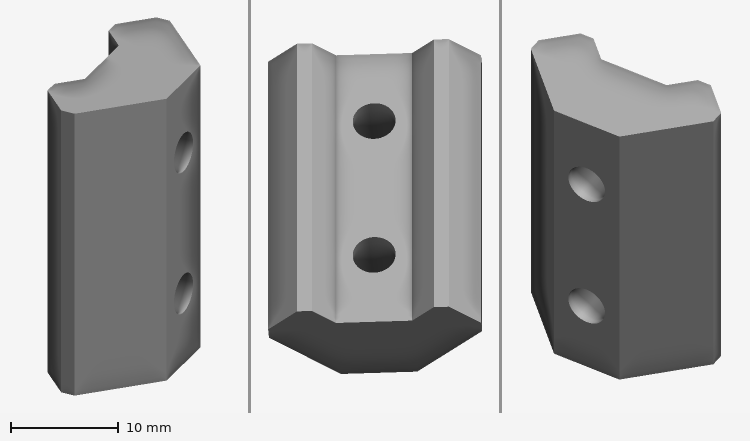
import cadquery as cq
import math

length = 30.0
side = 15.0
leg_thickness = 6.0
edge_chamfer = 1.0
corner_chamfer = 5.0
hole_diameter = 4.0
hole_heights = (length / 4, 3 * length / 4)

outer = side / 2
inner = outer - leg_thickness


def make_bar():
    """Extrude the angle section with all of its bevelled corners."""
    profile = [
        (-outer + edge_chamfer, outer),
        (outer - corner_chamfer, outer),
        (outer, outer - corner_chamfer),
        (outer, -outer + edge_chamfer),
        (outer - edge_chamfer, -outer),
        (inner + edge_chamfer, -outer),
        (inner, -outer + edge_chamfer),
        (inner, inner - corner_chamfer),
        (inner - corner_chamfer, inner),
        (-outer + edge_chamfer, inner),
        (-outer, inner + edge_chamfer),
        (-outer, outer - edge_chamfer),
    ]
    return cq.Workplane("XY").polyline(profile).close().extrude(length)


def make_hole(height):
    """Make a through-hole cutter square to the two diagonal faces."""
    diagonal_plane = cq.Plane(origin=(-outer, -outer, height), xDir=(1, -1, 0), normal=(1, 1, 0))
    section_diagonal = math.hypot(side, side)
    return cq.Workplane(diagonal_plane).circle(hole_diameter / 2).extrude(section_diagonal)


result = make_bar()
for hole_height in hole_heights:
    result = result.cut(make_hole(hole_height))